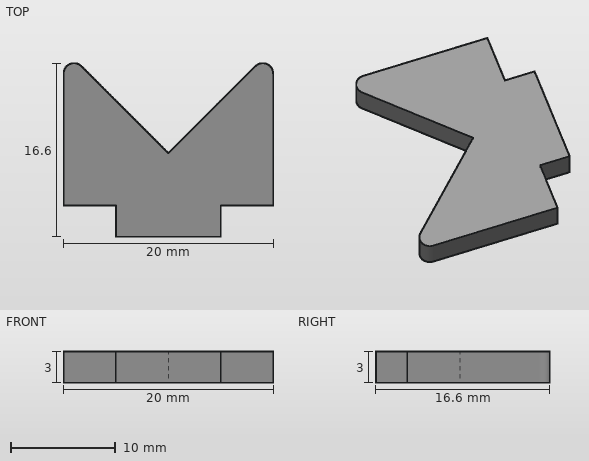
import cadquery as cq

width = 20.0
thickness = 3.0
tab_width = 10.0
tab_length = 3.0
notch_bottom = 8.0
tip_radius = 1.0

half_width = width / 2
half_tab = tab_width / 2
tip_height = notch_bottom + half_width

outline = [
    (-half_tab, 0),
    (half_tab, 0),
    (half_tab, tab_length),
    (half_width, tab_length),
    (half_width, tip_height),
    (0, notch_bottom),
    (-half_width, tip_height),
    (-half_width, tab_length),
    (-half_tab, tab_length),
]
plate = cq.Workplane("XY").polyline(outline).close().extrude(thickness)

result = plate.edges("|Z and >Y").fillet(tip_radius)